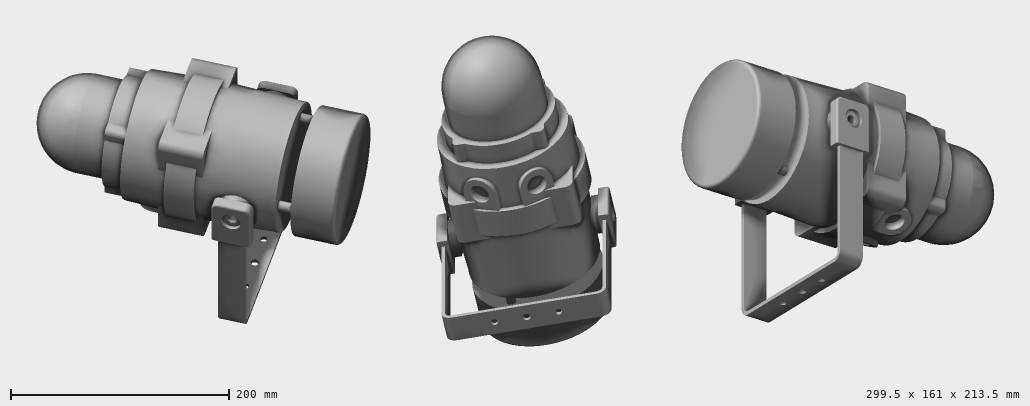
import cadquery as cq
import math


ring_start = 75.2
cover_start = 95.2
lug_start = 130.5
flange_start = 138.5
split_x = 143.0
flange_end = 166.8
lug_end = 173.0
lip_start = 237.5
housing_end = 242.8
cap_start = 257.5
cap_end = 299.5

dome_radius = 46.5
ring_radius = 53.0
end_radius = 61.5
cover_split_radius = 63.5
housing_split_radius = 65.0
flange_radius = 68.5

lug_half_width = 58.0
lug_corner_radius = 7.8
ring_lug_half_width = 42.8
ring_lug_corner_radius = 5.0

ear_angle = 24.0
ear_center_x = 121.3
ear_radius = 16.2
ear_hole_radius = 9.5
ear_inner_reach = 60.5
ear_outer_reach = 66.0
ear_hole_reach = 57.0

cap_edge_fillet = 3.3
post_radius = 4.5
post_circle_radius = 48.5
post_count = 3
first_post_angle = 180.0

pivot_x = 206.0
pad_radius = 15.0
pad_face_y = 63.5
boss_radius = 17.7
block_inner_y = 70.5
plate_thickness = 3.5
plate_outer_y = 80.5
strap_outer_y = plate_outer_y - plate_thickness
block_width = 37.5
block_top_z = 18.5
block_bottom_z = -29.5
block_corner_radius = 6.3
plate_edge_fillet = 2.0
bolt_hole_radius = 4.5
plate_hole_radius = 9.3

strap_width = 25.8
strap_thickness = 3.5
strap_top_z = strap_width / 2
strap_bottom_z = -145.0
strap_bend_radius = 9.3
mount_hole_spacing = 30.0
mount_hole_diameter = 6.3
center_hole_diameter = 7.2


def disc(start, end, radius, y=0.0, z=0.0):
    """Cylinder parallel to X."""
    return cq.Workplane("YZ", origin=(start, y, z)).circle(radius).extrude(end - start)


def cone(start, end, radius_at_start, radius_at_end):
    """Truncated cone about the X axis."""
    profile = [(start, 0), (start, radius_at_start), (end, radius_at_end), (end, 0)]
    return cq.Workplane("XY").polyline(profile).close().revolve(360, (0, 0, 0), (1, 0, 0))


def rounded_square(start, end, half_width, corner_radius):
    """Square prism about the X axis with rounded long edges."""
    side = 2 * half_width
    prism = cq.Workplane("YZ", origin=(start, 0, 0)).rect(side, side).extrude(end - start)
    return prism.edges("|X").fillet(corner_radius)


def make_ear(angle):
    """Flat eyelet tangent to the cover, turned about the axis from straight down."""
    thickness = ear_outer_reach - ear_inner_reach
    eyelet = cq.Workplane("XY").circle(ear_radius).extrude(thickness)
    web_length = split_x - ear_center_x
    web = cq.Workplane("XY").box(
        web_length, 2 * ear_radius, thickness, centered=(False, True, False)
    )
    ear = eyelet.union(web).translate((ear_center_x, 0, -ear_outer_reach))
    return ear.rotate((0, 0, 0), (1, 0, 0), angle)


def make_ear_hole(angle):
    """Hole through an ear, running on a little way into the cover."""
    hole = cq.Workplane("XY", origin=(ear_center_x, 0, -ear_outer_reach)).circle(ear_hole_radius)
    return hole.extrude(ear_outer_reach - ear_hole_reach).rotate((0, 0, 0), (1, 0, 0), angle)


def make_front_cover():
    """Dome, lugged ring, tapered cover and the front part of the joint flange."""
    dome = cq.Workplane("XY", origin=(dome_radius, 0, 0)).sphere(dome_radius)
    dome = dome.intersect(disc(0, dome_radius, ring_radius))
    cover = dome.union(disc(dome_radius, ring_start, dome_radius))
    cover = cover.union(disc(ring_start, cover_start, ring_radius))
    cover = cover.union(
        rounded_square(ring_start, cover_start, ring_lug_half_width, ring_lug_corner_radius)
    )
    cover = cover.union(cone(cover_start, split_x, end_radius, cover_split_radius))
    cover = cover.union(disc(flange_start, split_x, flange_radius))
    cover = cover.union(rounded_square(lug_start, split_x, lug_half_width, lug_corner_radius))
    for angle in (-ear_angle, ear_angle):
        cover = cover.union(make_ear(angle))
        cover = cover.cut(make_ear_hole(angle))
    return cover


def make_rear_housing():
    """Tapered housing with its part of the joint flange, end lip and pivot pads."""
    housing = cone(split_x, lip_start, housing_split_radius, end_radius)
    housing = housing.union(disc(lip_start, housing_end, end_radius))
    housing = housing.union(disc(split_x, flange_end, flange_radius))
    housing = housing.union(rounded_square(split_x, lug_end, lug_half_width, lug_corner_radius))
    pads = cq.Workplane("XZ", origin=(pivot_x, 0, 0)).circle(pad_radius)
    return housing.union(pads.extrude(pad_face_y, both=True))


def make_sounder_cap():
    """Round cap standing off the housing on three posts."""
    cap = disc(cap_start, cap_end, end_radius).faces(">X").edges().fillet(cap_edge_fillet)
    for index in range(post_count):
        angle = math.radians(first_post_angle + index * 360 / post_count)
        y = post_circle_radius * math.cos(angle)
        z = post_circle_radius * math.sin(angle)
        cap = cap.union(disc(housing_end, cap_start, post_radius, y, z))
    return cap


def cylinder_y(start, end, radius):
    """Cylinder along Y on the pivot axis of the bracket."""
    circle = cq.Workplane("XZ", origin=(pivot_x, start, 0)).circle(radius)
    return circle.extrude(start - end)


def pivot_block(start, end):
    """Upright block at the pivot with rounded top corners."""
    height = block_top_z - block_bottom_z
    block = cq.Workplane("XY").box(block_width, end - start, height, centered=(True, False, False))
    block = block.edges("|Y and >Z").fillet(block_corner_radius)
    return block.translate((pivot_x, start, block_bottom_z))


def strap_slot():
    """Slot for one strap end, open at the bottom and at the outer face."""
    slot = cq.Workplane("XY").box(
        strap_width, strap_thickness, strap_top_z - block_bottom_z, centered=(True, False, False)
    )
    return slot.translate((pivot_x, strap_outer_y - strap_thickness, block_bottom_z))


def make_knob(side):
    """Slotted block on a round boss that turns on the housing pad."""
    knob = pivot_block(block_inner_y, strap_outer_y)
    knob = knob.union(cylinder_y(pad_face_y, block_inner_y, boss_radius))
    knob = knob.cut(strap_slot())
    knob = knob.cut(cylinder_y(pad_face_y, strap_outer_y, bolt_hole_radius))
    return knob if side > 0 else knob.mirror("XZ")


def make_cover_plate(side):
    """Plate that closes the strap slot, with an opening around the bolt hole."""
    plate = pivot_block(strap_outer_y, plate_outer_y)
    plate = plate.faces(">Y").edges("not(<Z)").fillet(plate_edge_fillet)
    plate = plate.cut(cylinder_y(strap_outer_y, plate_outer_y, plate_hole_radius))
    return plate if side > 0 else plate.mirror("XZ")


def make_strap():
    """U-shaped flat strap with bolt holes at its ends and mounting holes in its base."""
    strap_height = strap_top_z - strap_bottom_z
    strap = cq.Workplane("XY", origin=(pivot_x, 0, strap_bottom_z)).box(
        strap_width, 2 * strap_outer_y, strap_height, centered=(True, True, False)
    )
    strap = strap.edges("|X and <Z").fillet(strap_bend_radius)
    inside = cq.Workplane("XY", origin=(pivot_x, 0, strap_bottom_z + strap_thickness)).box(
        strap_width, 2 * (strap_outer_y - strap_thickness), strap_height, centered=(True, True, False)
    )
    strap = strap.cut(inside.edges("|X and <Z").fillet(strap_bend_radius - strap_thickness))
    strap = strap.cut(cylinder_y(-strap_outer_y, strap_outer_y, bolt_hole_radius))
    base = cq.Workplane("XY", origin=(pivot_x, 0, strap_bottom_z))
    outer_holes = base.pushPoints([(0, -mount_hole_spacing), (0, mount_hole_spacing)])
    strap = strap.cut(outer_holes.circle(mount_hole_diameter / 2).extrude(strap_thickness))
    return strap.cut(base.circle(center_hole_diameter / 2).extrude(strap_thickness))


front_cover = make_front_cover()
rear_housing = make_rear_housing()
sounder_cap = make_sounder_cap()
strap = make_strap()
sides = (-1, 1)
knobs = [make_knob(side).val() for side in sides]
cover_plates = [make_cover_plate(side).val() for side in sides]

result = cq.Compound.makeCompound(
    [
        front_cover.val(),
        rear_housing.val(),
        sounder_cap.val(),
        strap.val(),
        *knobs,
        *cover_plates,
    ]
)